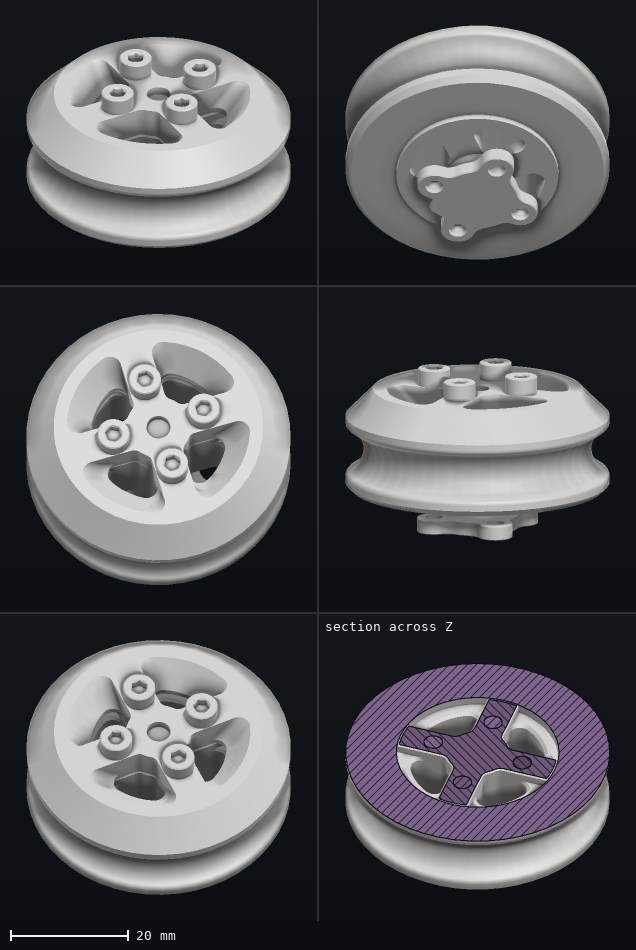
import cadquery as cq
import math

horn_top = 2.5
insert_bottom = 5.95
wheel_bottom = 6.98
ring_top = 17.45
plate_bottom = 19.25
lip_top = 20.25
pin_top = 23.0
wheel_top = 24.25
overall_height = 27.2

wheel_radius = 22.5
top_chamfer = 4.7
bottom_chamfer = 1.0
groove_bottom_radius = 19.4
groove_arc_radius = 4.25
groove_edge_round = 1.0
pin_hole_diameter = 4.1

slot_count = 4
spoke_width = 5.6
hub_radius = 5.55
hub_corner_round = 1.5
slot_top_radius = 15.6
slot_bottom_radius = 11.6
slot_corner_round = 1.95

insert_diameter = 27.6
insert_chamfer = 0.5
pin_diameter = 4.0
pin_chamfer = 0.2

screw_count = 4
screw_circle_radius = 8.0
screw_head_diameter = 5.5
screw_head_chamfer = 0.2
shank_diameter = 3.0
shank_length = 10.0
clearance_hole_diameter = 3.1
socket_across_flats = 2.5
socket_mouth_diameter = 3.1
socket_depth = 1.65

arm_width = 5.8
horn_hub_radius = 6.98
arm_root_round = 2.7
horn_hole_diameter = 3.0
horn_edge_chamfer = 0.2
boss_top_radius = 5.25
boss_base_radius = 5.55
flare_radius = 6.2
flare_height = 0.8


def cylinder(diameter, bottom, top):
    return cq.Workplane("XY", origin=(0, 0, bottom)).circle(diameter / 2).extrude(top - bottom)


def around_axis(shape, count):
    """Copies of one shape, evenly turned about the wheel axis."""
    return [shape.rotate((0, 0, 0), (0, 0, 1), i * 360 / count) for i in range(count)]


def cut_all(body, cutters):
    for cutter in cutters:
        body = body.cut(cutter)
    return body


def slot_outline(level, outer_radius):
    """Closed outline of one opening: two spoke walls, rounded hub and outer corners, two arcs."""
    wall = spoke_width / 2
    hub_round_x = wall + hub_corner_round
    hub_round_y = math.sqrt((hub_radius + hub_corner_round) ** 2 - hub_round_x**2)
    hub_angle = math.atan2(hub_round_y, hub_round_x)
    rim_round_x = wall + slot_corner_round
    rim_round_y = math.sqrt((outer_radius - slot_corner_round) ** 2 - rim_round_x**2)
    rim_angle = math.atan2(rim_round_y, rim_round_x)

    def polar(radius, angle, centre=(0, 0)):
        return (centre[0] + radius * math.cos(angle), centre[1] + radius * math.sin(angle))

    def mirrored(point):
        return (point[1], point[0])

    diagonal = math.pi / 4
    hub_end = polar(hub_radius, hub_angle)
    hub_round_middle = polar(hub_corner_round, math.pi + hub_angle / 2, (hub_round_x, hub_round_y))
    rim_end = polar(outer_radius, rim_angle)
    rim_round_middle = polar(slot_corner_round, (math.pi + rim_angle) / 2, (rim_round_x, rim_round_y))
    return (
        cq.Workplane("XY", origin=(0, 0, level))
        .moveTo(wall, hub_round_y)
        .lineTo(wall, rim_round_y)
        .threePointArc(rim_round_middle, rim_end)
        .threePointArc(polar(outer_radius, diagonal), mirrored(rim_end))
        .threePointArc(mirrored(rim_round_middle), (rim_round_y, wall))
        .lineTo(hub_round_y, wall)
        .threePointArc(mirrored(hub_round_middle), mirrored(hub_end))
        .threePointArc(polar(hub_radius, diagonal), hub_end)
        .threePointArc(hub_round_middle, (wall, hub_round_y))
        .close()
    )


def straight_slot(bottom, top, outer_radius):
    return slot_outline(bottom, outer_radius).extrude(top - bottom)


def flared_slot(bottom, top, bottom_radius, top_radius):
    """Opening with upright spoke walls whose outer wall leans outward on the way up."""
    lower = slot_outline(bottom, bottom_radius).val()
    upper = slot_outline(top, top_radius).val()
    return cq.Workplane(cq.Solid.makeLoft([lower, upper], True))


def make_wheel():
    groove_centre_radius = groove_bottom_radius + groove_arc_radius
    rim_round_centre = wheel_radius - groove_edge_round
    centre_distance = groove_arc_radius + groove_edge_round
    radial_gap = groove_centre_radius - rim_round_centre
    groove_half_width = math.sqrt(centre_distance**2 - radial_gap**2)
    middle = (wheel_bottom + bottom_chamfer + wheel_top - top_chamfer) / 2
    tangent_radius = groove_centre_radius - radial_gap * groove_arc_radius / centre_distance
    tangent_height = groove_half_width * groove_arc_radius / centre_distance
    round_angle = math.atan2(groove_half_width, radial_gap) / 2
    round_middle_radius = rim_round_centre + groove_edge_round * math.cos(round_angle)
    round_middle_height = groove_half_width - groove_edge_round * math.sin(round_angle)
    wheel = (
        cq.Workplane("XZ")
        .moveTo(0, wheel_bottom)
        .lineTo(wheel_radius - bottom_chamfer, wheel_bottom)
        .lineTo(wheel_radius, wheel_bottom + bottom_chamfer)
        .lineTo(wheel_radius, middle - groove_half_width)
        .threePointArc((round_middle_radius, middle - round_middle_height), (tangent_radius, middle - tangent_height))
        .threePointArc((groove_bottom_radius, middle), (tangent_radius, middle + tangent_height))
        .threePointArc((round_middle_radius, middle + round_middle_height), (wheel_radius, middle + groove_half_width))
        .lineTo(wheel_radius, wheel_top - top_chamfer)
        .lineTo(wheel_radius - top_chamfer, wheel_top)
        .lineTo(0, wheel_top)
        .close()
        .revolve(360, (0, 0, 0), (0, 1, 0))
    )
    wheel = wheel.cut(cylinder(insert_diameter, wheel_bottom, plate_bottom))
    wheel = wheel.cut(cylinder(pin_hole_diameter, plate_bottom, wheel_top))
    hole = cylinder(clearance_hole_diameter, plate_bottom, wheel_top).translate((screw_circle_radius, 0, 0))
    wheel = cut_all(wheel, around_axis(hole, screw_count))
    wheel = cut_all(wheel, around_axis(straight_slot(plate_bottom, lip_top, slot_bottom_radius), slot_count))
    mouth = flared_slot(lip_top, wheel_top, slot_bottom_radius, slot_top_radius)
    return cut_all(wheel, around_axis(mouth, slot_count))


def make_insert():
    """Slotted ring whose hub and spokes stand above it and carry the centring pin."""
    insert = cylinder(insert_diameter, insert_bottom, plate_bottom)
    passage = straight_slot(insert_bottom, plate_bottom, slot_bottom_radius)
    clearing = straight_slot(ring_top, plate_bottom, wheel_radius)
    insert = cut_all(insert, around_axis(passage.union(clearing), slot_count))
    insert = insert.faces(">Z").edges().chamfer(insert_chamfer)
    chamfer_start = ring_top - insert_chamfer
    ring_chamfer = flared_slot(
        chamfer_start, ring_top, slot_bottom_radius, slot_bottom_radius + insert_chamfer
    )
    insert = cut_all(insert, around_axis(ring_chamfer, slot_count))
    pin = cylinder(pin_diameter, plate_bottom, pin_top).faces(">Z").chamfer(pin_chamfer)
    insert = insert.union(pin)
    shank_bottom = wheel_top - shank_length
    hole = cylinder(shank_diameter, shank_bottom, plate_bottom).translate((screw_circle_radius, 0, 0))
    return cut_all(insert, around_axis(hole, screw_count))


def make_screw():
    """Socket head cap screw standing on the wheel, at the +X place of the screw circle."""
    head = cylinder(screw_head_diameter, wheel_top, overall_height).faces(">Z").chamfer(screw_head_chamfer)
    socket_corners = socket_across_flats / math.cos(math.pi / 6)
    socket = (
        cq.Workplane("XY", origin=(0, 0, overall_height))
        .polygon(6, socket_corners)
        .extrude(-socket_depth)
        .rotate((0, 0, 0), (0, 0, 1), 90)
    )
    mouth_depth = (socket_mouth_diameter - socket_across_flats) / 2
    mouth = cq.Workplane(
        cq.Solid.makeCone(
            socket_across_flats / 2,
            socket_mouth_diameter / 2,
            mouth_depth,
            cq.Vector(0, 0, overall_height - mouth_depth),
        )
    )
    shank = cylinder(shank_diameter, wheel_top - shank_length, wheel_top)
    return head.cut(socket).cut(mouth).union(shank).translate((screw_circle_radius, 0, 0))


def make_horn():
    """Four-armed servo horn with a flared conical boss reaching the underside of the insert."""
    arm = cq.Workplane("XY").slot2D(2 * screw_circle_radius + arm_width, arm_width).extrude(horn_top)
    plate = arm.union(arm.rotate((0, 0, 0), (0, 0, 1), 90)).union(cylinder(2 * horn_hub_radius, 0, horn_top))
    reach = horn_hub_radius + 0.05
    arm_roots = [
        edge for edge in plate.edges("|Z").vals() if math.hypot(edge.Center().x, edge.Center().y) < reach
    ]
    plate = plate.newObject(arm_roots).fillet(arm_root_round)
    plate = plate.faces("<Z or >Z").edges().chamfer(horn_edge_chamfer)
    hole = cylinder(horn_hole_diameter, 0, horn_top).translate((screw_circle_radius, 0, 0))
    plate = cut_all(plate, around_axis(hole, 4)).rotate((0, 0, 0), (0, 0, 1), 45)
    flare_sag = 0.1
    flare_middle = (
        (boss_base_radius + flare_radius) / 2 - flare_sag,
        horn_top + flare_height / 2 - flare_sag,
    )
    boss = (
        cq.Workplane("XZ")
        .moveTo(0, horn_top)
        .lineTo(flare_radius, horn_top)
        .threePointArc(flare_middle, (boss_base_radius, horn_top + flare_height))
        .lineTo(boss_top_radius, insert_bottom)
        .lineTo(0, insert_bottom)
        .close()
        .revolve(360, (0, 0, 0), (0, 1, 0))
    )
    return plate.union(boss)


wheel = make_wheel()
insert = make_insert()
horn = make_horn()
screws = around_axis(make_screw(), screw_count)

result = cq.Compound.makeCompound(
    [wheel.val(), insert.val(), horn.val(), *[screw.val() for screw in screws]]
)